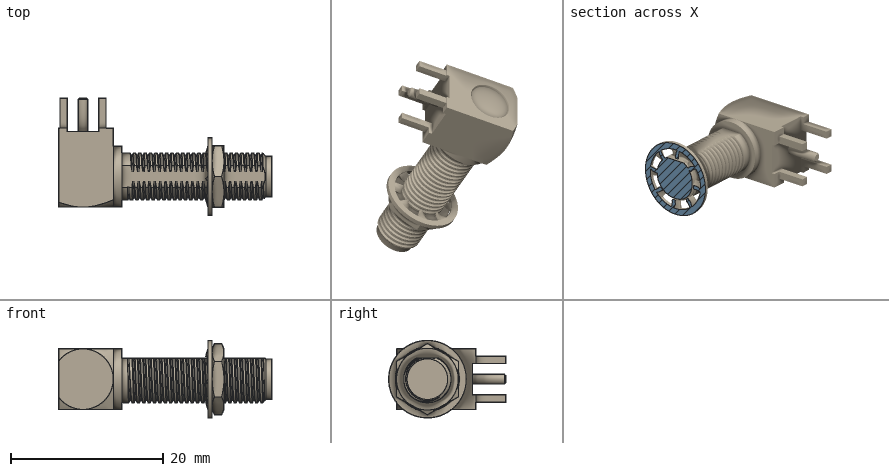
import cadquery as cq
import math


body_length = 7.2
body_side = 8.0
body_front = 4.03
body_top = 6.35
slot_depth = 0.42
cap_diameter = 7.95
corner_cut_angle = 30.0
recess_diameter = 5.6
recess_floor_diameter = 5.3
recess_depth = 0.25

pin_tip = 10.3
pin_x = 3.2
pin_diameter = 1.3
pin_chamfer = 0.2
leg_offset = 2.54
leg_side = 1.0

total_length = 28.0
flange_end = 8.3
flange_diameter = 8.0
crest_radius = 3.1
root_radius = 2.83
land_radius = 2.665
thread_end = 27.2
flat_height = 2.75

pitch = 25.4 / 36
groove_start = 9.42
groove_root_width = 0.18
groove_crest_width = 0.44
seam_angle = 37.0
groove_clearance = 0.1

washer_start = 19.58
washer_end = 20.16
washer_diameter = 10.2
washer_hole_diameter = 8.4
tooth_count = 8
tooth_inner_radius = 3.0
tooth_embed = 0.1
tooth_inner_width = 1.2
tooth_root_width = 1.5
tooth_thickness = 0.4
tooth_twist = 45.0

nut_end = 21.7
nut_across_flats = 8.1
nut_chamfer = 0.3


def cylinder_x(start, end, diameter):
    """Solid cylinder on the barrel axis."""
    return cq.Workplane("YZ", origin=(start, 0, 0)).circle(diameter / 2).extrude(end - start)


def revolve_x(points):
    """Turn an (x, radius) outline about the barrel axis."""
    return cq.Workplane("XY").polyline(points).close().revolve(360, (0, 0, 0), (1, 0, 0))


def box_between(x_range, y_range, z_range):
    """Axis-aligned box from its lower and upper limits."""
    ranges = (x_range, y_range, z_range)
    sizes = [high - low for low, high in ranges]
    corner = tuple(low for low, high in ranges)
    return cq.Workplane("XY").box(*sizes, centered=False).translate(corner)


def corner_cut_envelope():
    """Cone about the pin axis that trims the corners of the -Y face."""
    height = body_top + body_front
    cap_radius = cap_diameter / 2
    base_radius = cap_radius + height / math.tan(math.radians(corner_cut_angle))
    cone = cq.Solid.makeCone(
        cap_radius, base_radius, height,
        cq.Vector(pin_x, -body_front, 0), cq.Vector(0, 1, 0),
    )
    return cq.Workplane(obj=cone)


def make_body():
    half_side = body_side / 2
    x_range = (0, body_length)
    z_range = (-half_side, half_side)
    body = box_between(x_range, (-body_front, body_top), z_range)
    body = body.intersect(corner_cut_envelope())

    slot_half = leg_offset - leg_side / 2
    slot_y = (body_top - slot_depth, body_top)
    body = body.cut(box_between(x_range, slot_y, (-slot_half, slot_half)))
    body = body.cut(box_between((pin_x - slot_half, pin_x + slot_half), slot_y, z_range))

    recess = cq.Solid.makeCone(
        recess_diameter / 2, recess_floor_diameter / 2, recess_depth,
        cq.Vector(0, 0, 0), cq.Vector(1, 0, 0),
    )
    return body.cut(cq.Workplane(obj=recess))


def make_pins():
    slot_floor = body_top - slot_depth
    pins = (
        cq.Workplane("XZ", origin=(pin_x, slot_floor, 0))
        .circle(pin_diameter / 2)
        .extrude(-(pin_tip - slot_floor))
        .faces(">Y")
        .chamfer(pin_chamfer)
    )
    legs = (
        cq.Workplane("XZ", origin=(pin_x, slot_floor, 0))
        .rect(2 * leg_offset, 2 * leg_offset, forConstruction=True)
        .vertices()
        .rect(leg_side, leg_side)
        .extrude(-(pin_tip - slot_floor))
    )
    return pins, legs


def helical_groove(path_radius, length):
    """Helical trapezoid along +X that starts at x = 0 on the -Z side."""
    helix = cq.Wire.makeHelix(pitch, length, path_radius)
    flank_slope = (groove_crest_width - groove_root_width) / (crest_radius - root_radius)
    cutter_depth = crest_radius - root_radius + groove_clearance
    half_root = groove_root_width / 2
    half_outer = half_root + flank_slope * cutter_depth / 2
    groove = (
        cq.Workplane("XZ")
        .polyline([
            (path_radius, -half_root),
            (path_radius + cutter_depth, -half_outer),
            (path_radius + cutter_depth, half_outer),
            (path_radius, half_root),
        ])
        .close()
        .sweep(cq.Workplane(obj=helix), isFrenet=True)
    )
    return groove.rotate((0, 0, 0), (0, 1, 0), 90)


def make_thread_groove():
    return helical_groove(root_radius, thread_end - groove_start).translate((groove_start, 0, 0))


def make_thread_lead_in():
    """Off-centre half turn that sinks from the crest at +Z to full depth at -Z."""
    path_radius = (crest_radius + root_radius) / 2
    rise = (crest_radius - root_radius) / 2
    lead_in = helical_groove(path_radius, pitch / 2).rotate((0, 0, 0), (1, 0, 0), 180)
    return lead_in.translate((groove_start - pitch / 2, 0, rise))


def make_barrel():
    cone_length = crest_radius - land_radius
    barrel = revolve_x([
        (flange_end, 0),
        (flange_end, crest_radius),
        (thread_end - cone_length, crest_radius),
        (thread_end, land_radius),
        (total_length, land_radius),
        (total_length, 0),
    ])
    barrel = barrel.rotate((0, 0, 0), (1, 0, 0), seam_angle)
    barrel = barrel.cut(make_thread_groove()).cut(make_thread_lead_in())
    above_flat = box_between(
        (flange_end, total_length), (-crest_radius, crest_radius), (flat_height, crest_radius)
    )
    return barrel.cut(above_flat)


def tooth_section(radius, width, twist):
    """Rectangle across the +Z direction, turned about Z by the twist."""
    return (
        cq.Workplane("XY")
        .rect(tooth_thickness, width)
        .val()
        .rotate(cq.Vector(0, 0, 0), cq.Vector(0, 0, 1), twist)
        .translate(cq.Vector((washer_start + washer_end) / 2, 0, radius))
    )


def make_tooth():
    """Washer tooth that twists from the ring inward to the thread."""
    root = tooth_section(washer_hole_diameter / 2 + tooth_embed, tooth_root_width, 0)
    tip = tooth_section(tooth_inner_radius, tooth_inner_width, -tooth_twist)
    return cq.Workplane(obj=cq.Solid.makeLoft([tip, root], True))


def make_washer():
    washer = cylinder_x(washer_start, washer_end, washer_diameter)
    washer = washer.cut(cylinder_x(washer_start, washer_end, washer_hole_diameter))
    tooth = make_tooth()
    for index in range(tooth_count):
        washer = washer.union(tooth.rotate((0, 0, 0), (1, 0, 0), index * 360 / tooth_count))
    return washer


def make_nut():
    corner_radius = nut_across_flats / math.sqrt(3)
    face_radius = nut_across_flats / 2
    hexagon = (
        cq.Workplane("YZ", origin=(washer_end, 0, 0))
        .transformed(rotate=(0, 0, 90))
        .polygon(6, 2 * corner_radius)
        .extrude(nut_end - washer_end)
    )
    envelope = revolve_x([
        (washer_end, 0),
        (washer_end, face_radius),
        (washer_end + nut_chamfer, corner_radius),
        (nut_end - nut_chamfer, corner_radius),
        (nut_end, face_radius),
        (nut_end, 0),
    ])
    return hexagon.intersect(envelope)


pin, legs = make_pins()
flange = cylinder_x(body_length, flange_end, flange_diameter)
result = make_body().union(pin).union(legs).union(flange)
result = result.union(make_barrel()).union(make_nut()).union(make_washer()).solids()